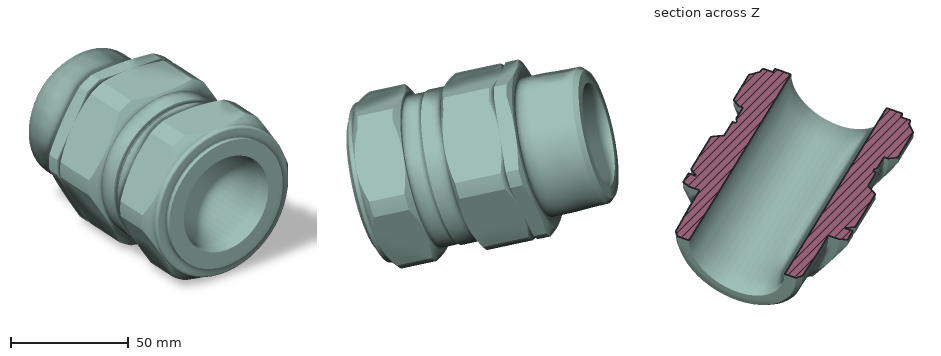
import cadquery as cq
import math

length = 102.9
across_flats = 70.1
across_corners = 77.1
corner_radius = across_corners / 2
flat_radius = across_flats / 2
sides = 6
point_radius = flat_radius / math.cos(math.pi / sides)
bore_radius = 22.3

thread_tip_radius = 27.8
thread_start_radius = 29.7
thread_shank_radius = 30.3
thread_chamfer = 2.2
thread_taper_end = 17.0

flange_start = 27.4
flange_chamfer = 1.2
body_start = 34.3
lead_chamfer = 2.3
body_corner_end = 56.9
body_end = 59.8
body_end_radius = 34.0

front_collar_radius = 33.8
front_collar_end = 68.3
groove_radius = 32.2
groove_end = 69.1
rear_collar_radius = 33.1
rear_collar_chamfer_end = 70.4

nut_start = 77.2
nut_corner_end = 95.2
ring_start = 98.7
ring_radius = 34.9
ring_end = 100.8
ring_round = 1.0
sleeve_radius = 29.9


def turned(points):
    """Solid of revolution about X; points are (x, radius), closed along the axis."""
    outline = [(points[0][0], 0), *points, (points[-1][0], 0)]
    return cq.Workplane("XY").polyline(outline).close().revolve(360, (0, 0, 0), (1, 0, 0))


def hexagon(points):
    """Hexagon with flats facing +Z and -Z, trimmed by a turned profile."""
    start = points[0][0]
    width = points[-1][0] - start
    step = 2 * math.pi / sides
    corners = [
        (point_radius * math.cos(i * step), point_radius * math.sin(i * step))
        for i in range(sides)
    ]
    prism = cq.Workplane("YZ", origin=(start, 0, 0)).polyline(corners).close()
    return prism.extrude(width).intersect(turned(points))


core = turned([
    (0, thread_tip_radius),
    (thread_chamfer, thread_start_radius),
    (thread_taper_end, thread_shank_radius),
    (body_start, thread_shank_radius),
    (body_start, front_collar_radius),
    (front_collar_end, front_collar_radius),
    (front_collar_end, groove_radius),
    (groove_end, groove_radius),
    (rear_collar_chamfer_end, rear_collar_radius),
    (nut_corner_end, rear_collar_radius),
    (nut_corner_end, sleeve_radius),
    (length, sleeve_radius),
])

flange = hexagon([
    (flange_start, flat_radius),
    (flange_start + flange_chamfer, corner_radius),
    (body_start, corner_radius),
])

body = hexagon([
    (body_start, flat_radius),
    (body_start + lead_chamfer, corner_radius),
    (body_corner_end, corner_radius),
    (body_end, body_end_radius),
])

nut = hexagon([
    (nut_start, flat_radius),
    (nut_start + lead_chamfer, corner_radius),
    (nut_corner_end, corner_radius),
    (ring_start, ring_radius),
])

ring = turned([(ring_start, ring_radius), (ring_end, ring_radius)])
ring = ring.faces(">X").edges().fillet(ring_round)

bore = turned([(0, bore_radius), (length, bore_radius)])

result = core.union(flange).union(body).union(nut).union(ring).cut(bore)